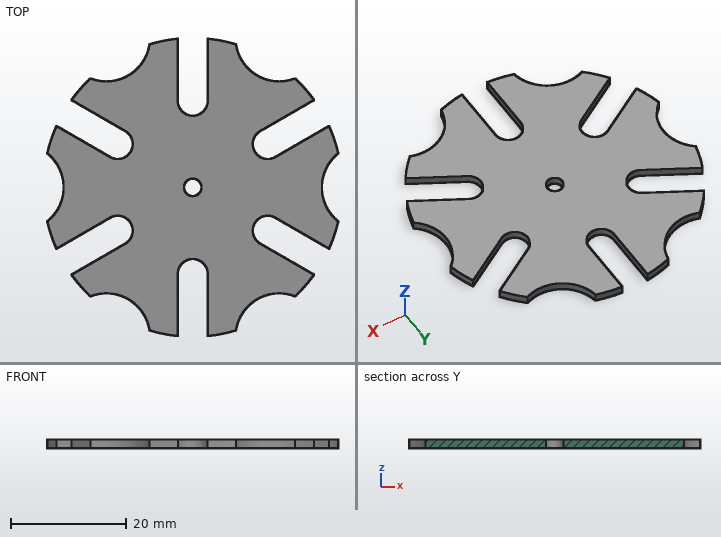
import cadquery as cq
import math

slot_count = 6
length = 51.7
thickness = 1.6
bore_diameter = 3.0
slot_width = 5.15
slot_inner_end = 12.45
scallop_bottom = 22.45

pitch_angle = 360 / slot_count
wheel_radius = math.hypot(length / 2, slot_width / 2)
slot_end_center = slot_inner_end + slot_width / 2

drive_center_distance = wheel_radius / math.cos(math.radians(pitch_angle / 2))
scallop_radius = drive_center_distance - scallop_bottom


def make_slot():
    """Radial slot along +Y with a round inner end, open past the rim."""
    straight_length = drive_center_distance - slot_end_center
    straight = (
        cq.Workplane("XY")
        .center(0, slot_end_center + straight_length / 2)
        .rect(slot_width, straight_length)
        .extrude(thickness)
    )
    round_end = cq.Workplane("XY").center(0, slot_end_center).circle(slot_width / 2).extrude(thickness)
    return straight.union(round_end)


def make_scallop():
    """Round rim cutout on +X that clears the locking disc of the drive."""
    return cq.Workplane("XY").center(drive_center_distance, 0).circle(scallop_radius).extrude(thickness)


wheel = cq.Workplane("XY").circle(wheel_radius).circle(bore_diameter / 2).extrude(thickness)
slot = make_slot()
scallop = make_scallop()
for index in range(slot_count):
    angle = index * pitch_angle
    for cutter in (slot, scallop):
        wheel = wheel.cut(cutter.rotate((0, 0, 0), (0, 0, 1), angle))

result = wheel